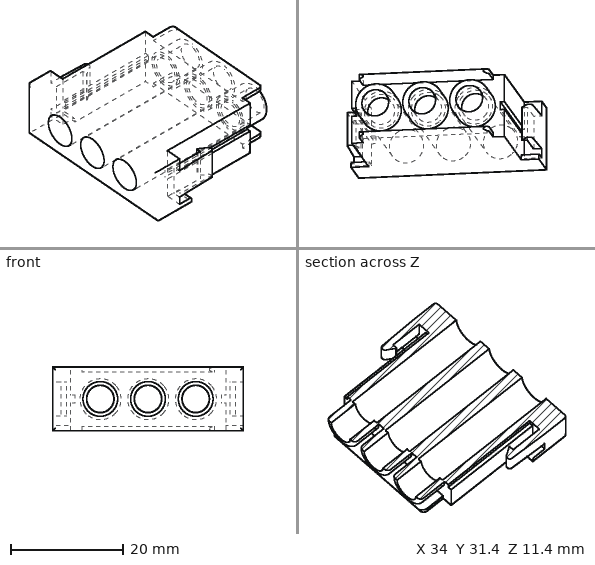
import cadquery as cq

width = 34.0
height = 11.4
flange_depth = 5.47
front_edge_radius = 0.58

body_width = 27.65
body_rear = 25.45

socket_pitch = 8.5
socket_diameter = 7.3
socket_rear = 31.4
socket_edge_radius = 0.75
bore_diameter = 6.2
through_diameter = 4.83

tab_width = 23.53
tab_thickness = 0.8
tab_rear = 30.43
tab_corner_radius = 1.02
tab_edge_radius = 0.37

groove_width = 1.43
groove_depth = 0.75

foot_rear = 8.43
foot_thickness = 1.02
foot_edge_radius = 0.5

clip_height = 6.05
clip_rear = 13.87
clip_inner_x = 15.5
clip_outer_top_x = 16.75
clip_barb_x = 14.6
clip_barb_y = 11.83
clip_barb_tip = 0.2
clip_head_inner_x = 15.47
clip_head_radius = 0.48

bottom = -height / 2
overlap = 0.35


def block(size_x, y_start, y_end, z_start, size_z):
    """Box centred on X between two Y positions, standing on z_start."""
    return (
        cq.Workplane("XY")
        .box(size_x, y_end - y_start, size_z, centered=(True, False, False))
        .translate((0, y_start, z_start))
    )


def cylinder(x, diameter, y_start, y_end):
    """Cylinder along Y on the socket axis at x."""
    return (
        cq.Workplane("XZ", origin=(x, y_start, 0))
        .circle(diameter / 2)
        .extrude(y_start - y_end)
    )


def make_housing():
    flange = block(width, 0, flange_depth, bottom, height)
    flange = flange.faces("<Y").edges().fillet(front_edge_radius)
    body = block(body_width, flange_depth - overlap, body_rear, bottom, height)
    return flange.union(body)


def make_foot():
    """Thin ledge running behind the flange along the bottom."""
    foot = block(width, flange_depth - overlap, foot_rear, bottom, foot_thickness)
    return foot.edges(">Y and >Z").fillet(foot_edge_radius)


def make_tab(z_start):
    """Rear tab: rounded corners in plan, combined with a rounded rear edge."""
    tab = block(tab_width, body_rear - overlap, tab_rear, z_start, tab_thickness)
    plan = tab.edges("|Z and >Y").fillet(tab_corner_radius)
    return tab.edges("|X and >Y").fillet(tab_edge_radius).intersect(plan)


def make_clip():
    """Right-hand snap arm with an inward barb, its outer side leaning in slightly."""
    return (
        cq.Workplane("XY", origin=(0, 0, -clip_height / 2))
        .moveTo(clip_inner_x, flange_depth - overlap)
        .lineTo(width / 2, flange_depth - overlap)
        .lineTo(width / 2, flange_depth)
        .lineTo(clip_outer_top_x, clip_rear - clip_head_radius)
        .radiusArc((clip_outer_top_x - clip_head_radius, clip_rear), -clip_head_radius)
        .threePointArc(
            (clip_head_inner_x + clip_head_radius / 2, clip_rear - clip_head_radius / 4),
            (clip_head_inner_x, clip_rear - clip_head_radius),
        )
        .lineTo(clip_barb_x, clip_barb_y + clip_barb_tip)
        .lineTo(clip_barb_x, clip_barb_y)
        .lineTo(clip_inner_x, clip_barb_y)
        .close()
        .extrude(clip_height)
    )


def make_groove():
    """Cutter for the right-hand side groove, from the flange to the body's rear."""
    return (
        block(groove_depth, flange_depth, body_rear, -groove_width / 2, groove_width)
        .translate(((body_width - groove_depth) / 2, 0, 0))
    )


result = make_housing().union(make_foot())

for tab_z in (bottom, -bottom - tab_thickness):
    result = result.union(make_tab(tab_z))

clip = make_clip()
groove = make_groove()
result = result.union(clip).union(clip.mirror("YZ"))
result = result.cut(groove).cut(groove.mirror("YZ"))

for socket_x in (-socket_pitch, 0, socket_pitch):
    spigot = cylinder(socket_x, socket_diameter, body_rear - overlap, socket_rear)
    spigot = spigot.faces(">Y").edges().fillet(socket_edge_radius)
    result = result.union(spigot)
    result = result.cut(cylinder(socket_x, bore_diameter, 0, body_rear))
    result = result.cut(cylinder(socket_x, through_diameter, 0, socket_rear))